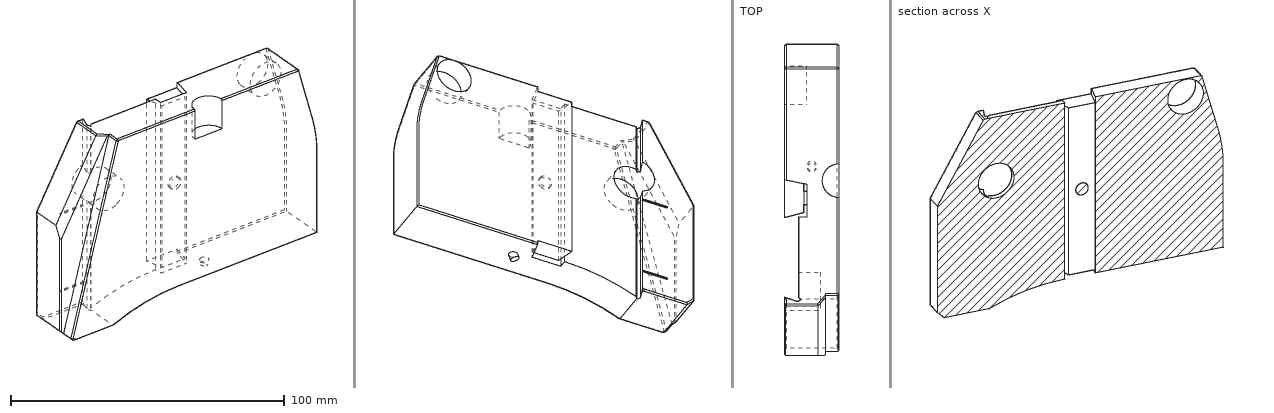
import cadquery as cq
import math

width = 20.0
length = 114.0
height = 79.0

base_z = 5.9
toe_chamfer = 2.7
toe_rear_y = 20.7
base_front_y = 50.5
nose_z = 46.9
slope_top_y = 18.5
rear_top_y = 105.5
rear_bend_y = 112.2
rear_bend_z = 54.7
rear_upright_z = 43.7
rear_arc_mid_y = 113.3
rear_arc_mid_z = 49.4
edge_chamfer = 0.7
edge_inset = 0.5
top_chamfer = 0.5

step_x = 15.0
step_top_y = 22.2
step_bottom_y = 1.1
step_chamfer = 2.7
step_front_chamfer = 0.5

slot_depth = 5.1
slot_front_y = 21.4
slot_rear_y = 50.8
lip_x = 4.8
lip_y = 19.8
undercut_x = 6.0
undercut_y = 20.5
floor_front_y = 21.4
gap_floor_x = 8.2
gap_rear_y = 62.7
jaw_depth = 7.1
jaw_front_y = 50.5
jaw_front_inner_y = 52.3
jaw_rear_y = 64.4
jaw_rear_inner_y = 62.9
jaw_bottom_z = 7.3
jaw_top_z = 76.5
jaw_screw_diameter = 5.0
jaw_screw_y = 57.7
jaw_screw_z = (jaw_bottom_z + jaw_top_z) / 2

hole_diameter = 14.0
hole_radius = hole_diameter / 2
rear_hole_centre = (99.0, 71.5)
rear_hole_floor_x = 8.0
front_hole_centre = (23.5, 52.4)
front_hole_floor_x = 13.1

pocket_radius = 6.2
pocket_y = 64.1
pocket_depth = 12.5

groove_width = 0.5
groove_depth = 0.3
groove_front_y = 11.2
groove_heights = [41.8, 8.8]

nozzle_diameter = 3.3
nozzle_length = 6.8
nozzle_tilt = 20.0
nozzle_tip_y = 68.9
nozzle_tip_z = 4.1


def side_prism(front_points, x_start, x_end):
    """Extrude the side profile along X; front_points run upward from the toe to the top face."""
    drop = base_z
    run = base_front_y - toe_rear_y
    arc_radius = (run**2 + drop**2) / (2 * drop)
    half_run = run / 2
    arc_mid_z = base_z - arc_radius + math.sqrt(arc_radius**2 - half_run**2)
    profile = cq.Workplane("YZ", origin=(x_start, 0, 0)).moveTo(*front_points[0])
    for point in front_points[1:]:
        profile = profile.lineTo(*point)
    profile = (
        profile.lineTo(rear_top_y, height)
        .lineTo(rear_bend_y, rear_bend_z)
        .threePointArc((rear_arc_mid_y, rear_arc_mid_z), (length, rear_upright_z))
        .lineTo(length, base_z)
        .lineTo(base_front_y, base_z)
        .threePointArc((base_front_y - half_run, arc_mid_z), (toe_rear_y, 0))
        .close()
    )
    return profile.extrude(x_end - x_start)


def front_block():
    """Left-hand part with the upright front face and the bevelled slope."""
    block = side_prism(
        [(toe_chamfer, 0), (0, toe_chamfer), (0, nose_z), (slope_top_y, height)], 0, step_x
    )
    slope_angle = math.atan2(height - nose_z, slope_top_y)
    wedge_run = step_chamfer / math.sin(slope_angle)
    slope_run = slope_top_y / (height - nose_z)
    wedge_bottom_y = slope_top_y - slope_run * height
    wedge = (
        cq.Workplane("XY")
        .polyline([
            (step_x - step_chamfer, wedge_bottom_y),
            (step_x, wedge_bottom_y),
            (step_x, wedge_bottom_y + wedge_run),
        ])
        .close()
    )
    sweep_path = (
        cq.Workplane("YZ", origin=(step_x, 0, 0))
        .moveTo(wedge_bottom_y, 0)
        .lineTo(slope_top_y, height)
    )
    block = block.cut(wedge.sweep(sweep_path))
    block = block.faces(">Z").edges("not |Y").chamfer(top_chamfer)
    block = block.faces("<Y").edges(">X").edges("|Z").chamfer(step_front_chamfer)
    return block.faces("<X").chamfer(edge_inset, edge_chamfer)


def set_back_block():
    """Right-hand part whose front is one plane leaning back behind the step."""
    lean = (step_top_y - step_bottom_y) / height
    chamfer_z = (toe_chamfer - step_bottom_y) / (1 + lean)
    block = side_prism(
        [(toe_chamfer, 0), (toe_chamfer - chamfer_z, chamfer_z), (step_top_y, height)],
        step_x,
        width,
    )
    block = block.faces(">Z").edges("|X").chamfer(top_chamfer)
    return block.faces(">X").chamfer(edge_inset, edge_chamfer)


def rail_slot():
    return (
        cq.Workplane("XY")
        .polyline([
            (0, jaw_rear_y),
            (jaw_depth, jaw_rear_inner_y),
            (gap_floor_x, gap_rear_y),
            (gap_floor_x, slot_rear_y),
            (slot_depth, slot_rear_y),
            (slot_depth, floor_front_y),
            (undercut_x, undercut_y),
            (lip_x, lip_y),
            (0, slot_front_y),
        ])
        .close()
        .extrude(height)
    )


def jaw():
    """Dovetail jaw standing in the rear of the slot, tied to the body by its screw."""
    wedge = (
        cq.Workplane("XY", origin=(0, 0, jaw_bottom_z))
        .polyline([
            (0, jaw_rear_y),
            (jaw_depth, jaw_rear_inner_y),
            (jaw_depth, jaw_front_inner_y),
            (0, jaw_front_y),
        ])
        .close()
        .extrude(jaw_top_z - jaw_bottom_z)
    )
    screw = (
        cq.Workplane("YZ", origin=(jaw_depth, 0, 0))
        .center(jaw_screw_y, jaw_screw_z)
        .circle(jaw_screw_diameter / 2)
        .extrude(gap_floor_x - jaw_depth)
    )
    return wedge.union(screw)


def side_hole(centre, floor_x):
    return cq.Workplane("YZ").center(*centre).circle(hole_radius).extrude(floor_x)


def top_pocket():
    return (
        cq.Workplane("XY", origin=(width, pocket_y, height))
        .circle(pocket_radius)
        .extrude(-pocket_depth)
    )


def toe_grooves():
    groove_length = slot_front_y - groove_front_y
    groove_y = (slot_front_y + groove_front_y) / 2
    return (
        cq.Workplane("YZ")
        .pushPoints([(groove_y, z) for z in groove_heights])
        .rect(groove_length, groove_width)
        .extrude(groove_depth)
    )


def nozzle():
    tilt = math.radians(nozzle_tilt)
    axis = cq.Vector(0, math.sin(tilt), math.cos(tilt))
    tip = cq.Vector(width / 2, nozzle_tip_y, nozzle_tip_z)
    return cq.Workplane(cq.Solid.makeCylinder(nozzle_diameter / 2, nozzle_length, tip, axis))


result = (
    front_block()
    .union(set_back_block())
    .cut(rail_slot())
    .union(jaw())
    .cut(side_hole(rear_hole_centre, rear_hole_floor_x))
    .cut(side_hole(front_hole_centre, front_hole_floor_x))
    .cut(top_pocket())
    .cut(toe_grooves())
    .union(nozzle())
)